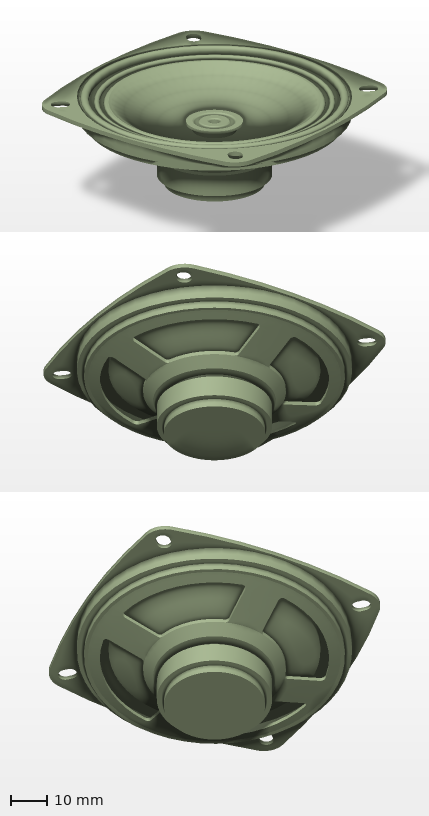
import cadquery as cq
import math

WIDTH = 77.8
SIDE_RADIUS = 155.6
CORNER_RADIUS = 6.6
FLANGE_TOP = 25.7
FLANGE_THICKNESS = 1.25
FLANGE_BOTTOM = FLANGE_TOP - FLANGE_THICKNESS

SLOT_CENTER = 30.4
SLOT_WIDTH = 4.05
SLOT_LENGTH = 5.4

RIM_RADIUS = 76.2 / 2
STEP_RADIUS = 72.2 / 2
RIM_BOTTOM = 20.5
STEP_BOTTOM = 18.35
ARM_TOP_RADIUS = 35.0
COLLAR_RADIUS = 19.8
COLLAR_TOP = 13.45
FLOOR_RADIUS = 17.0
FLOOR_BOTTOM = 10.5
WALL = 1.1
STEP_BORE_RADIUS = 70.2 / 2
RECESS_FLOOR = 24.9

WINDOW_RADIUS = 31.75
ARM_WIDTH = 10.2
WINDOW_FILLET = 1.2

MAGNET_RADIUS = 32.0 / 2
POLE_RADIUS = 28.0 / 2
MAGNET_BOTTOM = 2.4
MAGNET_TOP = 8.55

BOWL_RADIUS = 52.9
BOWL_RIM_RADIUS = 29.3
BOWL_RIM_HEIGHT = 24.2
BOWL_DEPTH_OFFSET = 3.65
BOWL_FLOOR = BOWL_RIM_HEIGHT - BOWL_RADIUS + math.sqrt(BOWL_RADIUS**2 - BOWL_RIM_RADIUS**2)

LIP_RADIUS = 29.7
LIP_FOOT_RADIUS = 30.7
LIP_FOOT_HEIGHT = 23.5
INNER_ROLL_START = 63.8 / 2
INNER_ROLL_END = 66.8 / 2
GROOVE_HEIGHT = 23.9
OUTER_ROLL_START = 69.8 / 2
OUTER_ROLL_END = 74.2 / 2
EDGE_RADIUS = 75.0 / 2
EDGE_THICKNESS = 0.3
SKIN = 0.6

CAP_RADIUS = 15.8 / 2
CAP_NECK_RADIUS = 6.1
CAP_TOP = 18.4
CAP_THICKNESS = 0.8
TROUGH_OUTER_RADIUS = CAP_NECK_RADIUS
TROUGH_FLOOR_OUTER = 11.0 / 2
TROUGH_FLOOR_INNER = 4.5
TROUGH_INNER_RADIUS = 4.05
TROUGH_DEPTH = 0.4
DIMPLE_RADIUS = 2.0
DIMPLE_FLOOR_RADIUS = 1.4
DIMPLE_DEPTH = 0.3


def revolve(profile):
    """Turn a closed (radius, height) profile about the Z axis."""
    return profile.close().revolve(360, (0, 0, 0), (0, 1, 0))


def turned(points):
    return revolve(cq.Workplane("XZ").polyline(points))


def disc(radius, bottom, top):
    return cq.Workplane("XY").workplane(offset=bottom).circle(radius).extrude(top - bottom)


def bowl_height(radius):
    """Height of the spherical bowl surface at a given radius."""
    return BOWL_FLOOR + BOWL_RADIUS - math.sqrt(BOWL_RADIUS**2 - radius**2)


def make_flange():
    half = WIDTH / 2
    center = SIDE_RADIUS - half
    corner = (math.sqrt(2 * SIDE_RADIUS**2 - center**2) - center) / 2
    plate = (
        cq.Workplane("XY")
        .workplane(offset=FLANGE_BOTTOM)
        .moveTo(corner, -corner)
        .threePointArc((half, 0), (corner, corner))
        .threePointArc((0, half), (-corner, corner))
        .threePointArc((-half, 0), (-corner, -corner))
        .threePointArc((0, -half), (corner, -corner))
        .close()
        .extrude(FLANGE_THICKNESS)
        .edges("|Z")
        .fillet(CORNER_RADIUS)
    )
    for angle in (45, 135, 225, 315):
        slot = (
            cq.Workplane("XY")
            .workplane(offset=FLANGE_BOTTOM)
            .center(SLOT_CENTER * math.sqrt(2), 0)
            .slot2D(SLOT_LENGTH, SLOT_WIDTH)
            .extrude(FLANGE_THICKNESS)
            .rotate((0, 0, 0), (0, 0, 1), angle)
        )
        plate = plate.cut(slot)
    return plate


def make_windows():
    """Four ring sectors, separated by parallel-sided arms along X and Y."""
    height = RIM_BOTTOM - COLLAR_TOP
    ring = disc(WINDOW_RADIUS, COLLAR_TOP, RIM_BOTTOM).cut(disc(COLLAR_RADIUS, COLLAR_TOP, RIM_BOTTOM))
    for length_x, length_y in ((WIDTH, ARM_WIDTH), (ARM_WIDTH, WIDTH)):
        arm = cq.Workplane("XY").workplane(offset=COLLAR_TOP).rect(length_x, length_y).extrude(height)
        ring = ring.cut(arm)
    return ring.edges("|Z").fillet(WINDOW_FILLET)


def make_basket():
    slope = (STEP_BOTTOM - COLLAR_TOP) / (ARM_TOP_RADIUS - COLLAR_RADIUS)
    floor_top = FLOOR_BOTTOM + WALL
    step_bore_height = COLLAR_TOP + WALL + slope * (STEP_BORE_RADIUS - COLLAR_RADIUS)
    outside = turned([
        (0, FLOOR_BOTTOM),
        (FLOOR_RADIUS, FLOOR_BOTTOM),
        (COLLAR_RADIUS, COLLAR_TOP),
        (ARM_TOP_RADIUS, STEP_BOTTOM),
        (STEP_RADIUS, STEP_BOTTOM),
        (STEP_RADIUS, RIM_BOTTOM),
        (RIM_RADIUS, RIM_BOTTOM),
        (RIM_RADIUS, FLANGE_BOTTOM),
        (0, FLANGE_BOTTOM),
    ])
    cavity = turned([
        (0, floor_top),
        (FLOOR_RADIUS - WALL, floor_top),
        (COLLAR_RADIUS, COLLAR_TOP + WALL),
        (STEP_BORE_RADIUS, step_bore_height),
        (STEP_BORE_RADIUS, RECESS_FLOOR),
        (RIM_RADIUS, RECESS_FLOOR),
        (RIM_RADIUS, FLANGE_TOP),
        (0, FLANGE_TOP),
    ])
    return outside.union(make_flange()).cut(cavity).cut(make_windows())


def make_magnet():
    poles = disc(POLE_RADIUS, 0, FLOOR_BOTTOM)
    return poles.union(disc(MAGNET_RADIUS, MAGNET_BOTTOM, MAGNET_TOP))


def make_cone():
    """Spherical bowl with a rolled surround that rests in the basket recess."""
    lip_run = LIP_FOOT_RADIUS - LIP_RADIUS
    lip_drop = BOWL_RIM_HEIGHT - LIP_FOOT_HEIGHT
    lip_middle = (
        LIP_RADIUS + lip_run * math.sin(math.pi / 4),
        LIP_FOOT_HEIGHT + lip_drop * math.sin(math.pi / 4),
    )
    inner_roll = (INNER_ROLL_END - INNER_ROLL_START) / 2
    outer_roll = (OUTER_ROLL_END - OUTER_ROLL_START) / 2
    half_bowl = BOWL_RIM_RADIUS / 2
    under_height = BOWL_RIM_HEIGHT - BOWL_DEPTH_OFFSET
    surround_bottom = LIP_FOOT_HEIGHT - SKIN
    profile = (
        cq.Workplane("XZ")
        .moveTo(0, BOWL_FLOOR)
        .threePointArc((half_bowl, bowl_height(half_bowl)), (BOWL_RIM_RADIUS, BOWL_RIM_HEIGHT))
        .lineTo(LIP_RADIUS, BOWL_RIM_HEIGHT)
        .threePointArc(lip_middle, (LIP_FOOT_RADIUS, LIP_FOOT_HEIGHT))
        .lineTo(INNER_ROLL_START, LIP_FOOT_HEIGHT)
        .lineTo(INNER_ROLL_START, GROOVE_HEIGHT)
        .threePointArc(
            (INNER_ROLL_START + inner_roll, GROOVE_HEIGHT + inner_roll),
            (INNER_ROLL_END, GROOVE_HEIGHT),
        )
        .lineTo(OUTER_ROLL_START, GROOVE_HEIGHT)
        .lineTo(OUTER_ROLL_START, RECESS_FLOOR)
        .threePointArc(
            (OUTER_ROLL_START + outer_roll, RECESS_FLOOR + outer_roll),
            (OUTER_ROLL_END, RECESS_FLOOR + EDGE_THICKNESS),
        )
        .lineTo(EDGE_RADIUS, RECESS_FLOOR + EDGE_THICKNESS)
        .lineTo(EDGE_RADIUS, RECESS_FLOOR)
        .lineTo(STEP_BORE_RADIUS, RECESS_FLOOR)
        .lineTo(STEP_BORE_RADIUS, surround_bottom)
        .lineTo(BOWL_RIM_RADIUS, surround_bottom)
        .lineTo(BOWL_RIM_RADIUS, under_height)
        .threePointArc(
            (half_bowl, bowl_height(half_bowl) - BOWL_DEPTH_OFFSET),
            (0, BOWL_FLOOR - BOWL_DEPTH_OFFSET),
        )
    )
    return revolve(profile)


def make_cap():
    """Disc on a narrower neck, with a ring trough and a center dimple."""
    neck = disc(CAP_NECK_RADIUS, BOWL_FLOOR, CAP_TOP)
    cap = neck.union(disc(CAP_RADIUS, CAP_TOP - CAP_THICKNESS, CAP_TOP))
    trough = turned([
        (TROUGH_INNER_RADIUS, CAP_TOP),
        (TROUGH_FLOOR_INNER, CAP_TOP - TROUGH_DEPTH),
        (TROUGH_FLOOR_OUTER, CAP_TOP - TROUGH_DEPTH),
        (TROUGH_OUTER_RADIUS, CAP_TOP),
    ])
    dimple = turned([
        (0, CAP_TOP),
        (0, CAP_TOP - DIMPLE_DEPTH),
        (DIMPLE_FLOOR_RADIUS, CAP_TOP - DIMPLE_DEPTH),
        (DIMPLE_RADIUS, CAP_TOP),
    ])
    return cap.cut(trough).cut(dimple)


basket = make_basket()
magnet = make_magnet()
diaphragm = make_cone().union(make_cap())

result = cq.Compound.makeCompound([basket.val(), magnet.val(), diaphragm.val()])